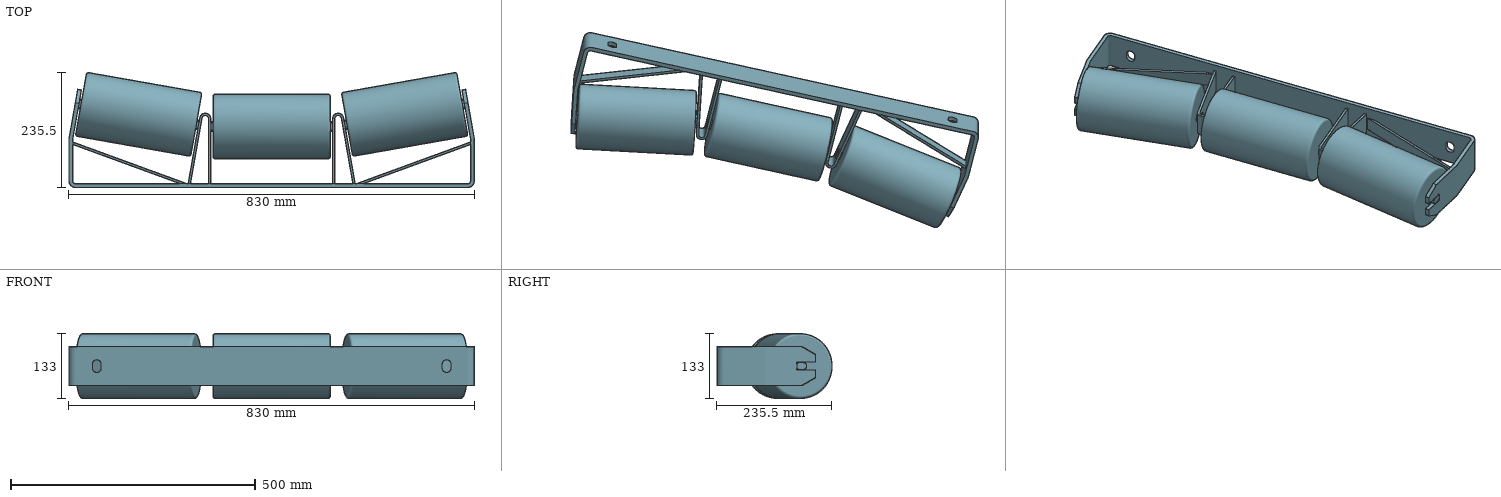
import cadquery as cq
import math

TILT = 10.0

FRAME_LENGTH = 830.0
FRAME_HEIGHT = 80.0
PLATE = 8.0
BEND_RADIUS = 14.0
ARM_BEND_Y = 100.0
ARM_TIP_LENGTH = 103.0
ARM_CHAMFER_LENGTH = 28.0
ARM_CHAMFER_HEIGHT = 16.0

MOUNT_SLOT_X = 358.0
MOUNT_SLOT_WIDTH = 18.0
MOUNT_SLOT_HEIGHT = 26.0

ROLLER_DIAMETER = 133.0
ROLLER_LENGTH = 240.0
ROLLER_FILLET = 5.0
CENTRE_ROLLER_Y = 125.0
SIDE_ROLLER_X = 272.2
TOP_Y = 235.53
SHAFT_DIAMETER = 20.0
SHAFT_FLATS = 14.0
ARM_SLOT_WIDTH = 16.0
ARM_SLOT_FILLET = 3.0

BRACKET_STRIP = 5.0
BRACKET_HEIGHT = 50.0
BRACKET_TOP_Y = 152.5
BRACKET_BEND_RADIUS = 11.5
BRACKET_FACE_X = 124.5

BRACE_THICKNESS = 5.0
BRACE_HEIGHT = 30.0
BRACE_TOP_Y = 93.5
BRACE_FOOT_X = 173.0

SIN = math.sin(math.radians(TILT))
COS = math.cos(math.radians(TILT))
HALF_LENGTH = FRAME_LENGTH / 2
ROLLER_RADIUS = ROLLER_DIAMETER / 2
SIDE_ROLLER_Y = (
    TOP_Y
    - (ROLLER_LENGTH / 2 - ROLLER_FILLET) * SIN
    - (ROLLER_RADIUS - ROLLER_FILLET) * COS
    - ROLLER_FILLET
)


def mirrored(body):
    return body.mirror("YZ")


def extrude_centred(profile, height):
    return profile.extrude(height / 2, both=True)


def side_place(body):
    """Move a body from the centre of an X axis roller to the right-hand inclined roller."""
    return body.rotate((0, 0, 0), (0, 0, 1), TILT).translate((SIDE_ROLLER_X, SIDE_ROLLER_Y, 0))


ARM_REACH = (HALF_LENGTH - SIDE_ROLLER_X) * COS + (ARM_BEND_Y - SIDE_ROLLER_Y) * SIN
BEND_CENTRE_X = BRACKET_FACE_X + BRACKET_BEND_RADIUS
BEND_CENTRE_Y = BRACKET_TOP_Y - BRACKET_BEND_RADIUS
BRACKET_REACH = (
    (SIDE_ROLLER_X - BEND_CENTRE_X) * COS
    + (SIDE_ROLLER_Y - BEND_CENTRE_Y) * SIN
    - BRACKET_BEND_RADIUS
    + BRACKET_STRIP
)
CENTRE_REACH = BRACKET_FACE_X + BRACKET_STRIP


def shaft(start, end):
    length = end - start
    rod = cq.Workplane("YZ").circle(SHAFT_DIAMETER / 2).extrude(length)
    flats = cq.Workplane("YZ").rect(SHAFT_DIAMETER, SHAFT_FLATS).extrude(length)
    return rod.intersect(flats).translate((start, 0, 0))


def roller(start, end):
    shell = (
        cq.Workplane("YZ", origin=(-ROLLER_LENGTH / 2, 0, 0))
        .circle(ROLLER_RADIUS).extrude(ROLLER_LENGTH)
        .edges("%CIRCLE").fillet(ROLLER_FILLET)
    )
    return shell.union(shaft(start, end))


SIDE_SHAFT = (-BRACKET_REACH, ARM_REACH)
side_shaft = side_place(shaft(*SIDE_SHAFT))
centre_shaft = shaft(-CENTRE_REACH, CENTRE_REACH).translate((0, CENTRE_ROLLER_Y, 0))
right_roller = side_place(roller(*SIDE_SHAFT))
left_roller = mirrored(right_roller)
centre_roller = roller(-CENTRE_REACH, CENTRE_REACH).translate((0, CENTRE_ROLLER_Y, 0))


def arm_tip(distance, inset):
    """Point on the inclined arm: distance beyond the bend, inset from its outer face."""
    x = HALF_LENGTH - distance * SIN - inset * COS
    y = ARM_BEND_Y + distance * COS - inset * SIN
    return x, y


def bend_edges(x, low_y, high_y):
    """Selector for the edges standing at x between two Y levels."""
    margin = PLATE / 4
    return cq.selectors.BoxSelector(
        (x - margin, low_y - margin, -margin),
        (x + margin, high_y + margin, margin),
    )


def frame():
    inner_bend_x = HALF_LENGTH - PLATE
    inner_bend_y = ARM_BEND_Y - PLATE * math.tan(math.radians(TILT / 2))
    half = extrude_centred(
        cq.Workplane("XY").polyline([
            (0, 0),
            (HALF_LENGTH, 0),
            (HALF_LENGTH, ARM_BEND_Y),
            arm_tip(ARM_TIP_LENGTH, 0),
            arm_tip(ARM_TIP_LENGTH, PLATE),
            (inner_bend_x, inner_bend_y),
            (inner_bend_x, PLATE),
            (0, PLATE),
        ]).close(),
        FRAME_HEIGHT,
    )
    outer_bends = bend_edges(HALF_LENGTH, 0, ARM_BEND_Y)
    inner_bends = bend_edges(inner_bend_x, PLATE, inner_bend_y)
    half = half.edges("|Z").edges(outer_bends).fillet(BEND_RADIUS)
    half = half.edges("|Z").edges(inner_bends).fillet(BEND_RADIUS - PLATE)
    half = half.cut(arm_tip_cuts()).cut(mount_slot())
    return half.union(mirrored(half))


def arm_tip_cuts():
    """Chamfered corners and shaft slot of the inclined arm, cut square to its face."""
    tip_x, tip_y = arm_tip(ARM_TIP_LENGTH, 0)
    half_height = FRAME_HEIGHT / 2
    plane = cq.Plane(origin=(tip_x, tip_y, 0), xDir=(-SIN, COS, 0), normal=(-COS, -SIN, 0))
    shaft_depth = (tip_x - SIDE_ROLLER_X) * -SIN + (tip_y - SIDE_ROLLER_Y) * COS
    slot_depth = shaft_depth + SHAFT_DIAMETER / 2
    cuts = cq.Workplane(plane).rect(2 * slot_depth, ARM_SLOT_WIDTH).extrude(PLATE)
    cuts = cuts.edges(cq.selectors.ParallelDirSelector(plane.zDir)).fillet(ARM_SLOT_FILLET)
    for side in (1, -1):
        corner = cq.Workplane(plane).polyline([
            (0, side * half_height),
            (-ARM_CHAMFER_LENGTH, side * half_height),
            (0, side * (half_height - ARM_CHAMFER_HEIGHT)),
        ]).close().extrude(PLATE)
        cuts = cuts.union(corner)
    return cuts


def mount_slot():
    return (
        cq.Workplane("XZ").center(MOUNT_SLOT_X, 0)
        .slot2D(MOUNT_SLOT_HEIGHT, MOUNT_SLOT_WIDTH, 90)
        .extrude(-PLATE)
    )


def bracket():
    outer = BRACKET_BEND_RADIUS
    inner = outer - BRACKET_STRIP

    def on_bend(radius, angle):
        a = math.radians(angle)
        return BEND_CENTRE_X + radius * math.cos(a), BEND_CENTRE_Y + radius * math.sin(a)

    def foot(radius):
        x, y = on_bend(radius, TILT)
        return x + (y - PLATE) * math.tan(math.radians(TILT)), PLATE

    strip = extrude_centred(
        cq.Workplane("XY")
        .moveTo(BRACKET_FACE_X, PLATE)
        .lineTo(*on_bend(outer, 180))
        .threePointArc(on_bend(outer, 90), on_bend(outer, TILT))
        .lineTo(*foot(outer))
        .lineTo(*foot(inner))
        .lineTo(*on_bend(inner, TILT))
        .threePointArc(on_bend(inner, 90), on_bend(inner, 180))
        .lineTo(BRACKET_FACE_X + BRACKET_STRIP, PLATE)
        .close(),
        BRACKET_HEIGHT,
    )
    return strip.cut(side_shaft).cut(centre_shaft)


def brace():
    wall_x = HALF_LENGTH - PLATE
    angle = math.atan2(BRACE_TOP_Y - PLATE, wall_x - BRACE_FOOT_X)
    foot_width = BRACE_THICKNESS / math.sin(angle)
    wall_width = BRACE_THICKNESS / math.cos(angle)
    return extrude_centred(
        cq.Workplane("XY").polyline([
            (BRACE_FOOT_X, PLATE),
            (BRACE_FOOT_X + foot_width, PLATE),
            (wall_x, BRACE_TOP_Y - wall_width),
            (wall_x, BRACE_TOP_Y),
        ]).close(),
        BRACE_HEIGHT,
    )


main_frame = frame()
right_bracket = bracket()
left_bracket = mirrored(right_bracket)
right_brace = brace()
left_brace = mirrored(right_brace)

result = cq.Compound.makeCompound([
    main_frame.val(),
    right_bracket.val(),
    left_bracket.val(),
    right_brace.val(),
    left_brace.val(),
    centre_roller.val(),
    right_roller.val(),
    left_roller.val(),
])